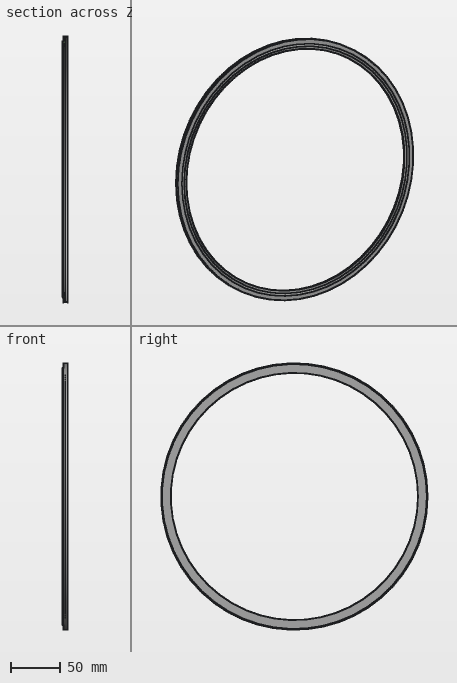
import cadquery as cq

total_width = 5.7
outer_radius = 135.0
bore_radius = 125.0
bead_radius = 1.3
bead_center_radius = 129.0
web_thickness = 2.0
rim_thickness = 1.0

back_x = total_width / 2
bead_tip_x = -total_width / 2
face_x = bead_tip_x + bead_radius
web_back_x = face_x + web_thickness
rim_inner_radius = outer_radius - rim_thickness
bead_outer_radius = bead_center_radius + bead_radius
bead_inner_radius = bead_center_radius - bead_radius

section = (
    cq.Workplane("XY")
    .moveTo(web_back_x, bore_radius)
    .lineTo(web_back_x, rim_inner_radius)
    .lineTo(back_x, rim_inner_radius)
    .lineTo(back_x, outer_radius)
    .lineTo(face_x, outer_radius)
    .lineTo(face_x, bead_outer_radius)
    .threePointArc((bead_tip_x, bead_center_radius), (face_x, bead_inner_radius))
    .lineTo(face_x, bore_radius)
    .close()
)

result = section.revolve(360, (0, 0, 0), (1, 0, 0))